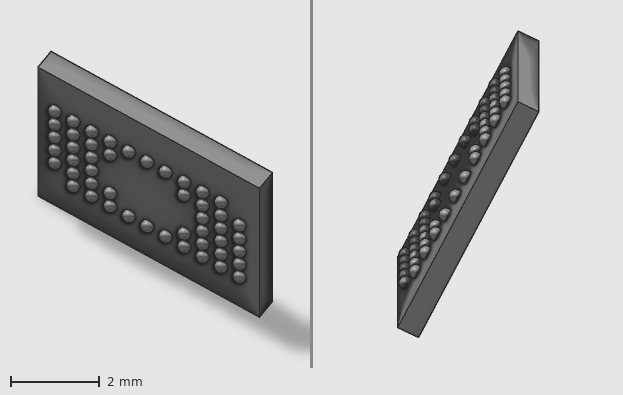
import cadquery as cq

body_length = 6.0
body_height = 5.0
body_thickness = 0.53
overall_depth = 0.73

pitches_along_length = 12
ball_protrusion = overall_depth - body_thickness
ball_diameter = 0.32
ball_pitch = body_length / pitches_along_length
ball_radius = ball_diameter / 2

ball_map = (
    "oooooooooo.",
    "oooo...oooo",
    "ooo.....ooo",
    "ooo.....ooo",
    "oooo...oooo",
    ".oooooooooo",
)


def make_body():
    """Plate centred on X and Z, with its front face on Y = 0."""
    return cq.Workplane("XY").box(
        body_length, body_thickness, body_height, centered=(True, False, True)
    )


def ball_positions():
    """X and Z of every ball, on a square grid centred on the body."""
    middle_row = (len(ball_map) - 1) / 2
    middle_column = (len(ball_map[0]) - 1) / 2
    return [
        ((column - middle_column) * ball_pitch, (middle_row - row) * ball_pitch)
        for row, places in enumerate(ball_map)
        for column, place in enumerate(places)
        if place == "o"
    ]


def make_balls():
    """Spheres partly sunk into the front face, leaving the protrusion visible."""
    ball_center_y = ball_radius - ball_protrusion
    ball = cq.Workplane("XY").sphere(ball_radius).val()
    return [
        ball.translate(cq.Vector(x, ball_center_y, z)) for x, z in ball_positions()
    ]


result = cq.Workplane("XY").newObject([make_body().val().fuse(*make_balls())])